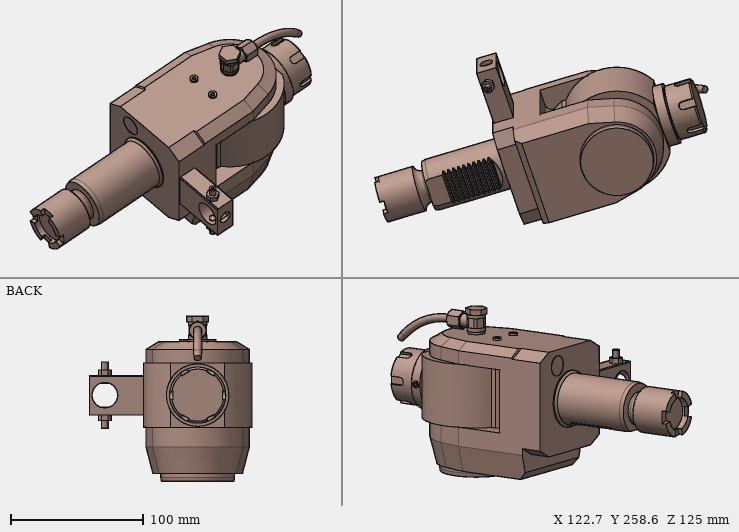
import cadquery as cq
import math


HALF_WIDTH = 39.0
HALF_HEIGHT = 40.4
REAR_BLOCK_LENGTH = 25.3
REAR_CHAMFER_WIDTH = 11.6
REAR_CHAMFER_HEIGHT = 6.5
BODY_REAR_Y = 26.5
CROSS_AXIS_Y = 86.1
NOSE_RADIUS = 35.2
NOSE_Y = CROSS_AXIS_Y + NOSE_RADIUS
SIDE_END_Y = 75.3
TOP_CHAMFER_WIDTH = 9.5
TOP_CHAMFER_HEIGHT = 5.7
PLUG_RADIUS = 7.8
PLUG_X = -16.0
PLUG_Z = 28.0
PLUG_RECESS = 0.3

LOWER_TOP_Z = -HALF_WIDTH
LOWER_BOTTOM_Z = -59.2
LOWER_INSET = 5.2
LOWER_REAR_Y = 16.3
LOWER_REAR_CHAMFER_Y = 5.2
LOWER_REAR_CHAMFER_Z = 6.2
CAP_RADIUS = 28.0
CAP_END_RADIUS = 27.5
CAP_CHAMFER_Z = -62.0
CAP_BOTTOM_Z = -65.2

DRUM_RADIUS = 41.0
DRUM_HALF_HEIGHT = 24.3
FLANGE_REAR_Y = 121.8
POCKET_REAR_Y = 37.5
POCKET_FILLET = 5.5
POCKET_LAND_X = 25.5
POCKET_LAND_Y = 50.7
POCKET_ROOT_X = 21.2

FLANGE_RADIUS = 23.5
FLANGE_FRONT_Y = 129.5
FLANGE_SCREW_RADIUS = 2.5
FLANGE_SCREW_HEX = 2.5
FLANGE_SCREW_DEPTH = 1.3
NUT_RADIUS = 21.2
NUT_NECK_RADIUS = 20.2
NUT_REAR_Y = 130.5
NUT_BEVEL_Y = 150.0
NUT_FRONT_Y = 151.3
NUT_FRONT_RADIUS = 19.7
NUT_SLOT_COUNT = 6
NUT_SLOT_WIDTH = 6.2
NUT_SLOT_DEPTH = 2.5
NUT_SLOT_REAR_Y = 138.6

COLLAR_RADIUS = 21.7
SHANK_RADIUS = 20.0
SHANK_END_Y = -62.9
SHANK_END_RADIUS = 19.1
SHANK_CHAMFER_Y = -59.8
RACK_FLAT_Z = -16.3
RACK_FLAT_Y = -9.0
RACK_RAMP = 6.5
GROOVE_COUNT = 10
GROOVE_FIRST_Y = -11.5
GROOVE_LAST_Y = -47.3
GROOVE_DEPTH = 1.8
GROOVE_HALF_MOUTH = 1.42
GROOVE_HALF_ROOT = 0.5

NECK_RADIUS = 12.7
NECK_FLARE_Y = -64.7
COUPLING_RADIUS = 17.5
COUPLING_FRONT_Y = -70.5
COUPLING_END_Y = -100.5
COUPLING_BORE_RADIUS = 12.5
COUPLING_BORE_DEPTH = 5.2
COUPLING_SLOT_DEPTH = 3.4
COUPLING_SLOT_COUNT = 4
SLOT_HALF_WIDTH_INNER = 3.5
SLOT_HALF_WIDTH_OUTER = 5.2

BRACKET_END_X = 81.7
BRACKET_HALF_HEIGHT = 15.0
BRACKET_REAR_Y = 1.0
BRACKET_FRONT_Y = 16.5
BRACKET_CHAMFER = 0.8
BRACKET_HOLE_X = 70.0
BRACKET_HOLE_RADIUS = 9.5
BRACKET_END_HOLE_RADIUS = 5.0
CLAMP_SCREW_Y = 6.5
CLAMP_SCREW_RADIUS = 2.5
CLAMP_SCREW_TIP_Z = 25.0
CLAMP_SOCKET_HEX = 2.5
CLAMP_SOCKET_DEPTH = 2.0
CLAMP_NUT_CORNERS = 9.8
CLAMP_NUT_TOP_Z = 19.1
CLAMP_SCREW_PROTRUSION = 0.8

TOP_SCREW_X = 10.5
TOP_SCREW_Y = 59.5
TOP_SCREW_RADIUS = 3.0
TOP_SCREW_HEIGHT = 1.5
TOP_SCREW_HEX = 3.0

FITTING_TOP_Z = 59.8
FITTING_HEAD_Z = 55.4
FITTING_HEAD_CORNERS = 16.5
FITTING_NECK_RADIUS = 7.0
FITTING_FOOT_RADIUS = 6.5
FITTING_FOOT_Z = 42.2
FITTING_HEX_CORNERS = 15.5
FITTING_HEX_CORNER_RADIUS = 7.2
FITTING_HEX_TOP_Z = 52.8
FITTING_HEX_BOTTOM_Z = 45.3
PIPE_Z = 49.0
STUB_RADIUS = 5.2
PIPE_NUT_CORNERS = 14.5
PIPE_NUT_CHAMFER = 1.0
PIPE_NUT_REAR_Y = 97.8
PIPE_NUT_FRONT_Y = 109.5
PIPE_RADIUS = 3.0
PIPE_BEND_Y = 111.5
PIPE_BEND_RADIUS = 57.5
PIPE_BEND_ANGLE = 45
PIPE_TIP_LENGTH = 5.7
PIPE_TIP_RADIUS = 2.72


def box(x_range, y_range, z_range):
    """Axis-parallel box between the given limits."""
    size = [high - low for low, high in (x_range, y_range, z_range)]
    corner = (x_range[0], y_range[0], z_range[0])
    return cq.Workplane("XY").box(*size, centered=False).translate(corner)


def cylinder_z(radius, z_low, z_high, x=0.0, y=0.0):
    """Upright cylinder."""
    return cq.Workplane("XY", origin=(x, y, z_low)).circle(radius).extrude(z_high - z_low)


def cylinder_y(radius, y_low, y_high, x=0.0, z=0.0):
    """Cylinder along Y."""
    return cq.Workplane("XZ", origin=(x, y_high, z)).circle(radius).extrude(y_high - y_low)


def hex_z(corners, z_low, z_high, x=0.0, y=0.0, turn=0.0):
    """Upright hexagonal prism; corners point along X unless it is turned."""
    prism = cq.Workplane("XY").polygon(6, corners).extrude(z_high - z_low)
    return prism.rotate((0, 0, 0), (0, 0, 1), turn).translate((x, y, z_low))


def turned_y(profile):
    """Solid of revolution about the spindle axis from (radius, y) points."""
    return profile.close().revolve(360, (0, 0, 0), (0, 1, 0))


def nose_outline(z, rear_y):
    """Plan outline of the housing: straight sides, tangent tapers and a round nose."""
    reach = CROSS_AXIS_Y - SIDE_END_Y
    distance = math.hypot(HALF_WIDTH, reach)
    tangent_angle = math.acos(NOSE_RADIUS / distance) - math.atan2(reach, HALF_WIDTH)
    tangent_x = NOSE_RADIUS * math.cos(tangent_angle)
    tangent_y = CROSS_AXIS_Y + NOSE_RADIUS * math.sin(tangent_angle)
    return (
        cq.Workplane("XY", origin=(0, 0, z))
        .moveTo(-HALF_WIDTH, rear_y)
        .lineTo(HALF_WIDTH, rear_y)
        .lineTo(HALF_WIDTH, SIDE_END_Y)
        .lineTo(tangent_x, tangent_y)
        .threePointArc((0, NOSE_Y), (-tangent_x, tangent_y))
        .lineTo(-HALF_WIDTH, SIDE_END_Y)
        .close()
    )


def rear_block():
    """Rear end of the housing, with all four long edges chamfered."""
    x_in = HALF_WIDTH - REAR_CHAMFER_WIDTH
    z_in = HALF_HEIGHT - REAR_CHAMFER_HEIGHT
    corners = [
        (x_in, HALF_HEIGHT), (HALF_WIDTH, z_in), (HALF_WIDTH, -z_in), (x_in, -HALF_HEIGHT),
        (-x_in, -HALF_HEIGHT), (-HALF_WIDTH, -z_in), (-HALF_WIDTH, z_in), (-x_in, HALF_HEIGHT),
    ]
    block = cq.Workplane("XZ").polyline(corners).close().extrude(-REAR_BLOCK_LENGTH)
    return block.cut(cylinder_y(PLUG_RADIUS, 0, PLUG_RECESS, PLUG_X, PLUG_Z))


def upper_body():
    """Main housing with a sloped border around its top face."""
    chamfer_z = HALF_HEIGHT - TOP_CHAMFER_HEIGHT
    walls = nose_outline(LOWER_TOP_Z, LOWER_REAR_Y).extrude(chamfer_z - LOWER_TOP_Z)
    slope = math.degrees(math.atan2(TOP_CHAMFER_WIDTH, TOP_CHAMFER_HEIGHT))
    cap = nose_outline(chamfer_z, BODY_REAR_Y - TOP_CHAMFER_WIDTH).extrude(TOP_CHAMFER_HEIGHT, taper=slope)
    trim = box((-HALF_WIDTH, HALF_WIDTH), (BODY_REAR_Y, NOSE_Y), (LOWER_TOP_Z, HALF_HEIGHT))
    return walls.union(cap).intersect(trim)


def upper_section(y, chamfer_width, chamfer_height):
    """Cross-section of the housing above its tapered part, as a closed wire at the given Y."""
    x_in = HALF_WIDTH - chamfer_width
    shoulder_z = HALF_HEIGHT - chamfer_height
    corners = [
        (-HALF_WIDTH, LOWER_TOP_Z), (HALF_WIDTH, LOWER_TOP_Z), (HALF_WIDTH, shoulder_z),
        (x_in, HALF_HEIGHT), (-x_in, HALF_HEIGHT), (-HALF_WIDTH, shoulder_z),
    ]
    return cq.Wire.makePolygon([cq.Vector(x, y, z) for x, z in corners], close=True)


def transition():
    """Step between the chamfers of the rear block and main housing, with the full-width walls below."""
    rear = upper_section(REAR_BLOCK_LENGTH, REAR_CHAMFER_WIDTH, REAR_CHAMFER_HEIGHT)
    front = upper_section(BODY_REAR_Y, TOP_CHAMFER_WIDTH, TOP_CHAMFER_HEIGHT)
    step = cq.Workplane(obj=cq.Solid.makeLoft([rear, front], True))
    side = (-HALF_WIDTH, HALF_WIDTH)
    return step.union(box(side, (LOWER_REAR_Y, REAR_BLOCK_LENGTH), (LOWER_TOP_Z, 0)))


def lower_body():
    """Tapered underside of the housing with the round cap below it."""
    height = LOWER_TOP_Z - LOWER_BOTTOM_Z
    taper = math.degrees(math.atan2(LOWER_INSET, height))
    body = nose_outline(-LOWER_TOP_Z, 0).extrude(height, taper=taper).mirror("XY")
    side = (
        cq.Workplane("YZ", origin=(-HALF_WIDTH, 0, 0))
        .moveTo(LOWER_REAR_Y, LOWER_TOP_Z)
        .lineTo(LOWER_REAR_Y, LOWER_BOTTOM_Z + LOWER_REAR_CHAMFER_Z)
        .lineTo(LOWER_REAR_Y + LOWER_REAR_CHAMFER_Y, LOWER_BOTTOM_Z)
        .lineTo(NOSE_Y, LOWER_BOTTOM_Z)
        .lineTo(NOSE_Y, LOWER_TOP_Z)
        .close()
        .extrude(2 * HALF_WIDTH)
    )
    cap = cylinder_z(CAP_RADIUS, CAP_BOTTOM_Z, LOWER_BOTTOM_Z, y=CROSS_AXIS_Y)
    cap = cap.faces("<Z").chamfer(CAP_CHAMFER_Z - CAP_BOTTOM_Z, CAP_RADIUS - CAP_END_RADIUS)
    return body.intersect(side).union(cap)


def side_pocket():
    """Recess on the +X side in which the drum sits."""
    fillet_x = POCKET_ROOT_X + POCKET_FILLET
    fillet_y = POCKET_REAR_Y + POCKET_FILLET
    fillet_mid = POCKET_FILLET * math.sqrt(0.5)
    return (
        cq.Workplane("XY", origin=(0, 0, -DRUM_HALF_HEIGHT))
        .moveTo(DRUM_RADIUS, POCKET_REAR_Y)
        .lineTo(fillet_x, POCKET_REAR_Y)
        .threePointArc((fillet_x - fillet_mid, fillet_y - fillet_mid), (POCKET_ROOT_X, fillet_y))
        .lineTo(POCKET_LAND_X, POCKET_LAND_Y)
        .lineTo(POCKET_LAND_X, CROSS_AXIS_Y)
        .lineTo(DRUM_RADIUS, CROSS_AXIS_Y)
        .close()
        .extrude(2 * DRUM_HALF_HEIGHT)
    )


def drum():
    """Upright round body, cut flat at the front where the flange sits."""
    barrel = cylinder_z(DRUM_RADIUS, -DRUM_HALF_HEIGHT, DRUM_HALF_HEIGHT, y=CROSS_AXIS_Y)
    front_y = CROSS_AXIS_Y + DRUM_RADIUS
    side = (-DRUM_RADIUS, DRUM_RADIUS)
    return barrel.cut(box(side, (FLANGE_REAR_Y, front_y), side))


def flange():
    """Ring between the drum and the collet nut, with a set screw on the -X side."""
    ring = cylinder_y(FLANGE_RADIUS, FLANGE_REAR_Y, FLANGE_FRONT_Y)
    screw_y = (FLANGE_REAR_Y + FLANGE_FRONT_Y) / 2
    bore = (
        cq.Workplane("YZ", origin=(-FLANGE_RADIUS, screw_y, 0))
        .circle(FLANGE_SCREW_RADIUS)
        .polygon(6, FLANGE_SCREW_HEX)
        .extrude(FLANGE_SCREW_DEPTH)
    )
    return ring.cut(bore)


def collet_nut():
    """Nut with round-ended wrench slots that open at its front edge."""
    nut = turned_y(
        cq.Workplane("XY")
        .moveTo(0, FLANGE_FRONT_Y)
        .lineTo(NUT_NECK_RADIUS, FLANGE_FRONT_Y)
        .lineTo(NUT_NECK_RADIUS, NUT_REAR_Y)
        .lineTo(NUT_RADIUS, NUT_REAR_Y)
        .lineTo(NUT_RADIUS, NUT_BEVEL_Y)
        .lineTo(NUT_FRONT_RADIUS, NUT_FRONT_Y)
        .lineTo(0, NUT_FRONT_Y)
    )
    floor_x = NUT_RADIUS - NUT_SLOT_DEPTH
    half_width = NUT_SLOT_WIDTH / 2
    round_y = NUT_SLOT_REAR_Y + half_width
    slot = (
        cq.Workplane("YZ", origin=(floor_x, 0, 0))
        .moveTo(NUT_FRONT_Y, -half_width)
        .lineTo(round_y, -half_width)
        .threePointArc((NUT_SLOT_REAR_Y, 0), (round_y, half_width))
        .lineTo(NUT_FRONT_Y, half_width)
        .close()
        .extrude(2 * NUT_SLOT_DEPTH)
    )
    for index in range(NUT_SLOT_COUNT):
        nut = nut.cut(slot.rotate((0, 0, 0), (0, 1, 0), index * 360 / NUT_SLOT_COUNT))
    return nut


def shank():
    """Cylindrical shank with a collar, and a ramped, grooved flat underneath."""
    collar_step = COLLAR_RADIUS - SHANK_RADIUS
    body = turned_y(
        cq.Workplane("XY")
        .lineTo(COLLAR_RADIUS, 0)
        .lineTo(COLLAR_RADIUS, -collar_step / 2)
        .lineTo(SHANK_RADIUS, -3 * collar_step / 2)
        .lineTo(SHANK_RADIUS, SHANK_CHAMFER_Y)
        .lineTo(SHANK_END_RADIUS, SHANK_END_Y)
        .lineTo(0, SHANK_END_Y)
    )
    flat = (
        cq.Workplane("YZ", origin=(-SHANK_RADIUS, 0, 0))
        .moveTo(SHANK_END_Y, RACK_FLAT_Z)
        .lineTo(RACK_FLAT_Y, RACK_FLAT_Z)
        .lineTo(RACK_FLAT_Y + RACK_RAMP, RACK_FLAT_Z - RACK_RAMP)
        .lineTo(SHANK_END_Y, RACK_FLAT_Z - RACK_RAMP)
        .close()
        .extrude(2 * SHANK_RADIUS)
    )
    body = body.cut(flat)
    groove = (
        cq.Workplane("YZ", origin=(-SHANK_RADIUS, 0, RACK_FLAT_Z))
        .moveTo(-GROOVE_HALF_MOUTH, 0)
        .lineTo(GROOVE_HALF_MOUTH, 0)
        .lineTo(GROOVE_HALF_ROOT, GROOVE_DEPTH)
        .lineTo(-GROOVE_HALF_ROOT, GROOVE_DEPTH)
        .close()
        .extrude(2 * SHANK_RADIUS)
    )
    pitch = (GROOVE_LAST_Y - GROOVE_FIRST_Y) / (GROOVE_COUNT - 1)
    for index in range(GROOVE_COUNT):
        body = body.cut(groove.translate((0, GROOVE_FIRST_Y + index * pitch, 0)))
    return body


def coupling():
    """Drive coupling: flared neck, round head, shallow bore and flared end slots."""
    body = turned_y(
        cq.Workplane("XY")
        .moveTo(0, SHANK_END_Y)
        .lineTo(NECK_RADIUS, SHANK_END_Y)
        .lineTo(NECK_RADIUS, NECK_FLARE_Y)
        .tangentArcPoint((COUPLING_RADIUS, COUPLING_FRONT_Y), relative=False)
        .lineTo(COUPLING_RADIUS, COUPLING_END_Y)
        .lineTo(0, COUPLING_END_Y)
    )
    bore_floor_y = COUPLING_END_Y + COUPLING_BORE_DEPTH
    body = body.cut(cylinder_y(COUPLING_BORE_RADIUS, COUPLING_END_Y, bore_floor_y))
    floor_y = COUPLING_END_Y + COUPLING_SLOT_DEPTH
    slot = (
        cq.Workplane("XZ", origin=(0, floor_y, 0))
        .moveTo(0, SLOT_HALF_WIDTH_INNER)
        .lineTo(COUPLING_BORE_RADIUS, SLOT_HALF_WIDTH_INNER)
        .lineTo(COUPLING_RADIUS, SLOT_HALF_WIDTH_OUTER)
        .lineTo(COUPLING_RADIUS, -SLOT_HALF_WIDTH_OUTER)
        .lineTo(COUPLING_BORE_RADIUS, -SLOT_HALF_WIDTH_INNER)
        .lineTo(0, -SLOT_HALF_WIDTH_INNER)
        .close()
        .extrude(COUPLING_SLOT_DEPTH)
    )
    for index in range(COUPLING_SLOT_COUNT):
        body = body.cut(slot.rotate((0, 0, 0), (0, 1, 0), index * 360 / COUPLING_SLOT_COUNT))
    return body


def clamp_screw():
    """Upper clamping screw with its lock nut; its lower end shows in the bracket hole."""
    root_z = BRACKET_HOLE_RADIUS - CLAMP_SCREW_PROTRUSION
    place = {"x": BRACKET_HOLE_X, "y": CLAMP_SCREW_Y}
    socket_z = CLAMP_SCREW_TIP_Z - CLAMP_SOCKET_DEPTH
    screw = cylinder_z(CLAMP_SCREW_RADIUS, root_z, CLAMP_SCREW_TIP_Z, **place)
    nut = hex_z(CLAMP_NUT_CORNERS, BRACKET_HALF_HEIGHT, CLAMP_NUT_TOP_Z, **place)
    socket = hex_z(CLAMP_SOCKET_HEX, socket_z, CLAMP_SCREW_TIP_Z, **place)
    return screw.union(nut).cut(socket)


def bracket():
    """Side arm with a through hole, a hole from its end face and two opposed clamping screws."""
    x_range = (0, BRACKET_END_X)
    arm = box(x_range, (BRACKET_REAR_Y, BRACKET_FRONT_Y), (-BRACKET_HALF_HEIGHT, BRACKET_HALF_HEIGHT))
    arm = arm.faces(">Z").edges("|X").chamfer(BRACKET_CHAMFER)
    arm = arm.cut(cylinder_y(BRACKET_HOLE_RADIUS, BRACKET_REAR_Y, BRACKET_FRONT_Y, x=BRACKET_HOLE_X))
    end_hole_y = (BRACKET_REAR_Y + BRACKET_FRONT_Y) / 2
    end_hole = cq.Workplane("YZ", origin=(BRACKET_HOLE_X, end_hole_y, 0)).circle(BRACKET_END_HOLE_RADIUS)
    arm = arm.cut(end_hole.extrude(BRACKET_END_X - BRACKET_HOLE_X))
    screw = clamp_screw()
    return arm.union(screw).union(screw.mirror("XY"))


def top_screw(x):
    """Small socket screw standing on the top face."""
    top_z = HALF_HEIGHT + TOP_SCREW_HEIGHT
    screw = cylinder_z(TOP_SCREW_RADIUS, HALF_HEIGHT, top_z, x, TOP_SCREW_Y)
    return screw.cut(hex_z(TOP_SCREW_HEX, HALF_HEIGHT, top_z, x, TOP_SCREW_Y))


def fitting_body():
    """Upright banjo fitting: foot, round neck, corner-rounded hexagonal waist and hexagonal head."""
    foot = cylinder_z(FITTING_FOOT_RADIUS, HALF_HEIGHT, FITTING_FOOT_Z, y=CROSS_AXIS_Y)
    lower_neck = cylinder_z(FITTING_NECK_RADIUS, FITTING_FOOT_Z, FITTING_HEX_BOTTOM_Z, y=CROSS_AXIS_Y)
    upper_neck = cylinder_z(FITTING_NECK_RADIUS, FITTING_HEX_TOP_Z, FITTING_HEAD_Z, y=CROSS_AXIS_Y)
    rounding = cylinder_z(FITTING_HEX_CORNER_RADIUS, FITTING_HEX_BOTTOM_Z, FITTING_HEX_TOP_Z, y=CROSS_AXIS_Y)
    waist = hex_z(FITTING_HEX_CORNERS, FITTING_HEX_BOTTOM_Z, FITTING_HEX_TOP_Z, y=CROSS_AXIS_Y, turn=30)
    head = hex_z(FITTING_HEAD_CORNERS, FITTING_HEAD_Z, FITTING_TOP_Z, y=CROSS_AXIS_Y)
    waist = waist.intersect(rounding)
    return foot.union(lower_neck).union(waist).union(upper_neck).union(head)


def pipe_nut():
    """Hexagonal union nut along Y, with its corners bevelled at both ends."""
    length = PIPE_NUT_FRONT_Y - PIPE_NUT_REAR_Y
    nut = hex_z(PIPE_NUT_CORNERS, 0, length, turn=30)
    bevel = cylinder_z(PIPE_NUT_CORNERS / 2, 0, length).edges().chamfer(PIPE_NUT_CHAMFER)
    nut = nut.intersect(bevel).rotate((0, 0, 0), (1, 0, 0), -90)
    return nut.translate((0, PIPE_NUT_REAR_Y, PIPE_Z))


def pipe():
    """Coolant pipe that leaves the fitting along Y and bends down, ending in a tapered tip."""
    bend = math.radians(PIPE_BEND_ANGLE)
    half_bend = bend / 2

    def bend_point(angle):
        y = PIPE_BEND_Y + PIPE_BEND_RADIUS * math.sin(angle)
        return y, PIPE_Z - PIPE_BEND_RADIUS * (1 - math.cos(angle))

    end_y, end_z = bend_point(bend)
    path = (
        cq.Workplane("YZ")
        .moveTo(PIPE_NUT_FRONT_Y, PIPE_Z)
        .lineTo(PIPE_BEND_Y, PIPE_Z)
        .threePointArc(bend_point(half_bend), (end_y, end_z))
    )
    tube = cq.Workplane("XZ", origin=(0, PIPE_NUT_FRONT_Y, PIPE_Z)).circle(PIPE_RADIUS).sweep(path)
    direction = cq.Vector(0, math.cos(bend), -math.sin(bend))
    end = cq.Vector(0, end_y, end_z)
    tip = cq.Solid.makeCone(PIPE_RADIUS, PIPE_TIP_RADIUS, PIPE_TIP_LENGTH, end, direction)
    stub = cylinder_y(STUB_RADIUS, CROSS_AXIS_Y, PIPE_NUT_REAR_Y, z=PIPE_Z)
    return stub.union(pipe_nut()).union(tube).union(cq.Workplane(obj=tip))


pocket = side_pocket()
housing = rear_block().union(transition()).union(upper_body()).union(lower_body())
housing = housing.cut(pocket).cut(pocket.mirror("YZ"))

result = housing.union(drum()).union(flange()).union(collet_nut())
result = result.union(shank()).union(coupling()).union(bracket())
for screw_x in (-TOP_SCREW_X, TOP_SCREW_X):
    result = result.union(top_screw(screw_x))
result = result.union(fitting_body()).union(pipe())